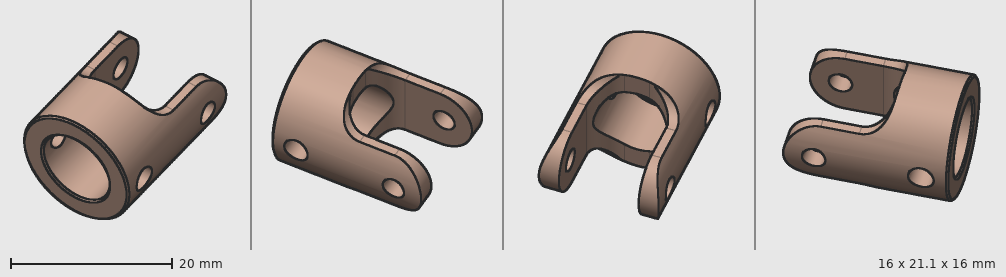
import cadquery as cq

length = 21.13
outer_diameter = 16.0
bore_diameter = 10.0
edge_chamfer = 0.25
collar_length = 8.1
arm_height = 8.95
fork_gap = 10.6
corner_radius = 3.61
pivot_hole_diameter = 3.0
pivot_hole_y = 17.2
cross_hole_diameter = 3.3
cross_hole_y = 3.47

outer_radius = outer_diameter / 2
arm_radius = arm_height / 2
arm_center_y = length - arm_radius
corner_start_y = collar_length + corner_radius
corner_top_z = arm_radius + corner_radius
overlap = 1.05


def cylinder_along_y(diameter):
    return cq.Workplane("XZ").circle(diameter / 2).extrude(-length)


def cross_hole(diameter, y):
    """Cutter for a hole through both walls, parallel to X."""
    return cq.Workplane("YZ").center(y, 0).circle(diameter / 2).extrude(outer_diameter, both=True)


def side_profile():
    """Collar narrowing through concave corners to a round-ended arm, extruded along X."""
    half_height = outer_radius + overlap
    return (
        cq.Workplane("YZ")
        .moveTo(0, -half_height)
        .lineTo(collar_length, -half_height)
        .lineTo(collar_length, -corner_top_z)
        .radiusArc((corner_start_y, -arm_radius), corner_radius)
        .lineTo(arm_center_y, -arm_radius)
        .threePointArc((length, 0), (arm_center_y, arm_radius))
        .lineTo(corner_start_y, arm_radius)
        .radiusArc((collar_length, corner_top_z), corner_radius)
        .lineTo(collar_length, half_height)
        .lineTo(0, half_height)
        .close()
        .extrude(outer_diameter, both=True)
    )


def fork_slot():
    """Cutter between the arms, with rounded corners at its closed end."""
    slot_length = length + overlap - collar_length
    return (
        cq.Workplane("XY")
        .center(0, collar_length + slot_length / 2)
        .rect(fork_gap, slot_length)
        .extrude(outer_diameter, both=True)
        .edges("|Z and <Y")
        .fillet(corner_radius)
    )


body = cylinder_along_y(outer_diameter).faces("<Y").chamfer(edge_chamfer)
body = body.intersect(side_profile())

bore = cylinder_along_y(bore_diameter)
bore_mouth = (
    cq.Workplane("XZ")
    .circle(bore_diameter / 2 + edge_chamfer)
    .workplane(offset=-edge_chamfer)
    .circle(bore_diameter / 2)
    .loft(ruled=True)
)
body = body.cut(bore).cut(bore_mouth)

body = body.cut(fork_slot())
body = body.cut(cross_hole(pivot_hole_diameter, pivot_hole_y))
result = body.cut(cross_hole(cross_hole_diameter, cross_hole_y))